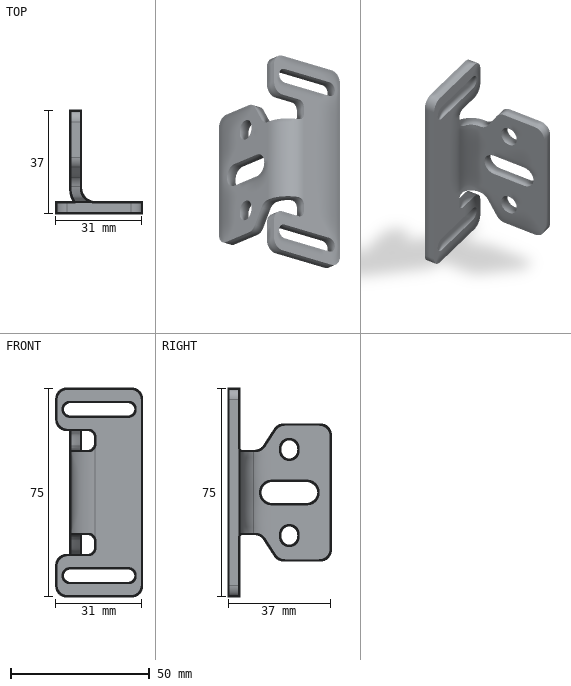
import cadquery as cq

plate_width = 31.0
plate_height = 75
depth = 37.0
thickness = 4.0
corner_radius = 4.0

arm_height = 15
web_left = 14.0
relief_height = 7.5
relief_radius = 2.5
strap_slot_length = 26.2
strap_slot_height = 5.25

bend_outer_radius = 9
bend_inner_radius = bend_outer_radius - thickness
bend_height = plate_height - 2 * (arm_height + relief_height)
flange_left = web_left - bend_outer_radius

flange_height = 49.05
taper_end_y = 17.9
taper_start_y = 11.8
hole_center_y = 22.0
hole_spacing = 31.05
hole_width = 6.45
hole_height = 7.35
center_slot_length = 20.9
center_slot_height = 8.3


def along_y(sketch, length):
    """Extrude an XZ sketch from Y = 0 towards +Y."""
    return sketch.extrude(-length)


def relief_cutter():
    """Openings above and below the bend, with rounded corners at the web."""
    center_z = plate_height / 2 - arm_height - relief_height / 2
    cutter = cq.Workplane("XY")
    for side in (-1, 1):
        opening = (
            along_y(
                cq.Workplane("XZ").center(web_left / 2, side * center_z).rect(web_left, relief_height),
                bend_outer_radius,
            )
            .edges("|Y and >X")
            .fillet(relief_radius)
        )
        cutter = cutter.add(opening)
    return cutter.combine()


def plate():
    """Flat plate with the space between its arms left open."""
    sheet = along_y(
        cq.Workplane("XZ").center(plate_width / 2, 0).rect(plate_width, plate_height),
        thickness,
    )
    gap_height = plate_height - 2 * arm_height
    gap = along_y(
        cq.Workplane("XZ").center(web_left / 2, 0).rect(web_left, gap_height),
        thickness,
    )
    gap = gap.edges("|Y and >X").fillet(relief_radius)
    body = sheet.edges("|Y").fillet(corner_radius).cut(gap)
    body = body.edges("|Y and <X").fillet(corner_radius)
    slot_z = (plate_height - arm_height) / 2
    slots = along_y(
        cq.Workplane("XZ")
        .pushPoints([(plate_width / 2, slot_z), (plate_width / 2, -slot_z)])
        .slot2D(strap_slot_length, strap_slot_height),
        thickness,
    )
    return body.cut(slots)


def bend():
    """Quarter-ring bend reaching to mid-relief, trimmed by the reliefs so their corner fillets remain."""
    height = bend_height + relief_height
    ring = (
        cq.Workplane("XY", origin=(web_left, bend_outer_radius, -height / 2))
        .circle(bend_outer_radius)
        .circle(bend_inner_radius)
        .extrude(height)
    )
    quarter = cq.Workplane("XY", origin=(flange_left, 0, 0)).box(
        bend_outer_radius, bend_outer_radius, height, centered=(False, False, True)
    )
    return ring.intersect(quarter).cut(relief_cutter())


def flange():
    """Tapered tab with two obround holes and a central slot."""
    half_bend = bend_height / 2
    half_flange = flange_height / 2
    upper = [
        (bend_outer_radius, half_bend),
        (taper_start_y, half_bend),
        (taper_end_y, half_flange),
        (depth, half_flange),
    ]
    lower = [(y, -z) for y, z in reversed(upper)]
    base = cq.Workplane("YZ", origin=(flange_left, 0, 0))
    tab = base.polyline(upper + lower).close().extrude(thickness)
    tab = tab.edges("|X").edges("not <Y").fillet(corner_radius)
    holes = (
        base.pushPoints([(hole_center_y, hole_spacing / 2), (hole_center_y, -hole_spacing / 2)])
        .slot2D(hole_height, hole_width, 90)
        .extrude(thickness)
    )
    center_slot = (
        base.center(hole_center_y, 0)
        .slot2D(center_slot_length, center_slot_height)
        .extrude(thickness)
    )
    return tab.cut(holes).cut(center_slot)


result = plate().union(bend()).union(flange())